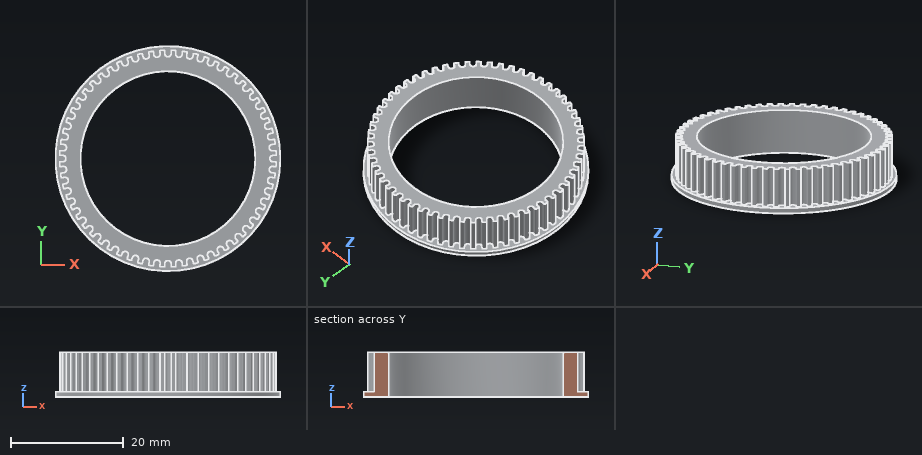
import cadquery as cq
import math

tooth_count = 60
tip_diameter = 38.5
flange_diameter = 40.0
bore_diameter = 31.0
total_height = 8.0
flange_thickness = 1.0
groove_width = 1.14
groove_depth = 1.15
tip_fillet = 0.15

tip_radius = tip_diameter / 2
toothed_height = total_height - flange_thickness
tooth_angle = 2 * math.pi / tooth_count


def make_flange():
    """Plain disc at the bottom of the pulley."""
    return cq.Workplane("XY").circle(flange_diameter / 2).extrude(flange_thickness)


def make_toothed_rim():
    """Ring above the flange, with round-bottomed grooves and rounded tooth corners."""
    groove_radius = groove_width / 2
    groove_bottom = tip_radius - groove_depth
    wall_bottom = groove_bottom + groove_radius

    fillet_radius = tip_radius - tip_fillet
    fillet_across = groove_radius + tip_fillet
    fillet_along = math.sqrt(fillet_radius**2 - fillet_across**2)
    tip_start_angle = math.atan2(fillet_across, fillet_along)
    fillet_middle_angle = (tip_start_angle - math.pi / 2) / 2
    fillet_middle_along = fillet_along + tip_fillet * math.cos(fillet_middle_angle)
    fillet_middle_across = fillet_across + tip_fillet * math.sin(fillet_middle_angle)

    def groove_point(index, along, across):
        """Point at an outward and a sideways distance, in the frame of one groove."""
        angle = index * tooth_angle
        x = along * math.cos(angle) - across * math.sin(angle)
        y = along * math.sin(angle) + across * math.cos(angle)
        return (x, y)

    def tip_point(index, angle):
        """Point on the tip circle, at an angle from the middle of one groove."""
        return groove_point(index, tip_radius * math.cos(angle), tip_radius * math.sin(angle))

    outline = cq.Workplane("XY").workplane(offset=flange_thickness)
    outline = outline.moveTo(*tip_point(0, -tip_start_angle))
    for index in range(tooth_count):
        outline = (
            outline.threePointArc(
                groove_point(index, fillet_middle_along, -fillet_middle_across),
                groove_point(index, fillet_along, -groove_radius),
            )
            .lineTo(*groove_point(index, wall_bottom, -groove_radius))
            .threePointArc(
                groove_point(index, groove_bottom, 0),
                groove_point(index, wall_bottom, groove_radius),
            )
            .lineTo(*groove_point(index, fillet_along, groove_radius))
            .threePointArc(
                groove_point(index, fillet_middle_along, fillet_middle_across),
                tip_point(index, tip_start_angle),
            )
            .threePointArc(
                tip_point(index, tooth_angle / 2),
                tip_point(index + 1, -tip_start_angle),
            )
        )
    return outline.close().extrude(toothed_height)


def make_bore():
    """Cylinder that opens the pulley from bottom to top."""
    return cq.Workplane("XY").circle(bore_diameter / 2).extrude(total_height)


result = make_flange().union(make_toothed_rim()).cut(make_bore())